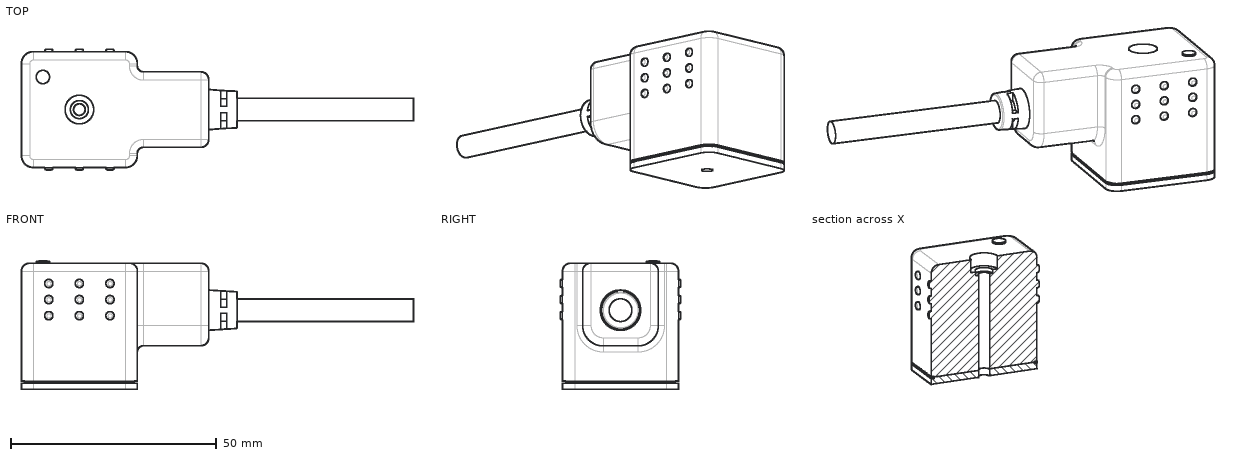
import cadquery as cq
import math


HEAD_SIDE = 28.3
HEAD_TOP = 30.8
CORNER_RADIUS = 3.0
EDGE_RADIUS = 2.0

GASKET_RIM_THICKNESS = 1.5
GROOVE_HEIGHT = 0.5
GROOVE_DEPTH = 0.8

ARM_REACH = 45.7
ARM_WIDTH = 18.5
ARM_HEIGHT = 20.2
ARM_BOTTOM_RADIUS = 5.0
ARM_ROOT_RADIUS = 1.4

COUNTERBORE_DIAMETER = 7.0
COUNTERBORE_DEPTH = 3.35
STEP_DIAMETER = 4.4
STEP_DEPTH = 1.0
SCREW_HOLE_DIAMETER = 2.8

LAMP_X = -8.9
LAMP_Y = 7.9
LAMP_DIAMETER = 3.3
LAMP_RIM_HEIGHT = 0.4
LAMP_HEIGHT = 0.6

STUD_DIAMETER = 2.0
STUD_HEIGHT = 0.6
STUD_EDGE_RADIUS = 0.5
STUD_PITCH_X = 7.5
STUD_PITCH_Z = 3.9
STUD_TOP_ROW_DROP = 5.0
STUD_COLUMNS = 3
STUD_ROWS = 3

CABLE_DIAMETER = 5.55
CABLE_AXIS_Z = 19.3
OVERALL_LENGTH = 95.7
GLAND_LENGTH = 6.9
GLAND_ROOT_DIAMETER = 9.9
GLAND_END_DIAMETER = 9.0
GLAND_EDGE_RADIUS = 0.3
WINDOW_START = 2.9
WINDOW_WIDTH = 1.4
WINDOW_BRIDGE = 1.5

HEAD_REAR_X = -HEAD_SIDE / 2
HEAD_FRONT_X = HEAD_SIDE / 2
JOINT_Z = GASKET_RIM_THICKNESS + GROOVE_HEIGHT / 2
ARM_END_X = HEAD_REAR_X + ARM_REACH
ARM_BOTTOM_Z = HEAD_TOP - ARM_HEIGHT
CABLE_END_X = HEAD_REAR_X + OVERALL_LENGTH
MARGIN = 0.01


def make_rounded_block(side, bottom_z, top_z, corner_radius):
    """Square block on the Z axis with rounded upright corners."""
    return (
        cq.Workplane("XY", origin=(0, 0, bottom_z))
        .rect(side, side)
        .extrude(top_z - bottom_z)
        .edges("|Z")
        .fillet(corner_radius)
    )


def make_arm():
    """Block from the middle of the head to the arm end, with round lower edges."""
    return (
        cq.Workplane("XY", origin=(0, 0, ARM_BOTTOM_Z))
        .rect(2 * ARM_END_X, ARM_WIDTH)
        .extrude(ARM_HEIGHT)
        .intersect(cq.Workplane("XY").box(ARM_END_X, HEAD_SIDE, HEAD_TOP, centered=(False, True, False)))
        .edges("|X and <Z")
        .fillet(ARM_BOTTOM_RADIUS)
    )


def blend_shell(shell):
    """Round the arm root, the arm end and the whole top outline."""
    root_edges = cq.selectors.BoxSelector(
        (HEAD_FRONT_X - MARGIN, -ARM_WIDTH / 2 - MARGIN, ARM_BOTTOM_Z - MARGIN),
        (HEAD_FRONT_X + MARGIN, ARM_WIDTH / 2 + MARGIN, HEAD_TOP - MARGIN),
    )
    shell = shell.edges(root_edges).fillet(ARM_ROOT_RADIUS)
    return shell.faces(">Z or >X").edges().fillet(EDGE_RADIUS)


def cut_groove(body):
    """Cut the groove around the joint, as far as it lies in the given body."""
    groove_top = GASKET_RIM_THICKNESS + GROOVE_HEIGHT
    outer = make_rounded_block(HEAD_SIDE, GASKET_RIM_THICKNESS, groove_top, CORNER_RADIUS)
    core = make_rounded_block(
        HEAD_SIDE - 2 * GROOVE_DEPTH, GASKET_RIM_THICKNESS, groove_top, CORNER_RADIUS - GROOVE_DEPTH
    )
    return body.cut(outer.cut(core))


def cut_screw_hole(body):
    """Bore the screw hole, with its two steps below the top of the head."""
    step_bottom = COUNTERBORE_DEPTH + STEP_DEPTH
    for diameter, depth in (
        (COUNTERBORE_DIAMETER, COUNTERBORE_DEPTH),
        (STEP_DIAMETER, step_bottom),
        (SCREW_HOLE_DIAMETER, HEAD_TOP),
    ):
        bore = cq.Workplane("XY", origin=(0, 0, HEAD_TOP - depth)).circle(diameter / 2).extrude(depth)
        body = body.cut(bore)
    return body


def make_lamp():
    """Domed lamp standing on the top face."""
    radius = LAMP_DIAMETER / 2
    dome_rise = LAMP_HEIGHT - LAMP_RIM_HEIGHT
    sphere_radius = (radius**2 + dome_rise**2) / (2 * dome_rise)
    half_angle = math.asin(radius / sphere_radius) / 2
    mid_point = (
        sphere_radius * math.sin(half_angle),
        LAMP_HEIGHT - sphere_radius * (1 - math.cos(half_angle)),
    )
    return (
        cq.Workplane("XZ")
        .lineTo(radius, 0)
        .lineTo(radius, LAMP_RIM_HEIGHT)
        .threePointArc(mid_point, (0, LAMP_HEIGHT))
        .close()
        .revolve(360, (0, 0), (0, 1))
        .translate((LAMP_X, LAMP_Y, HEAD_TOP))
    )


def make_studs():
    """Grid of round-edged studs on the two flat sides of the head."""
    grid_mid_z = HEAD_TOP - STUD_TOP_ROW_DROP - STUD_PITCH_Z * (STUD_ROWS - 1) / 2
    near_studs = (
        cq.Workplane("XZ", origin=(0, -HEAD_SIDE / 2, grid_mid_z))
        .rarray(STUD_PITCH_X, STUD_PITCH_Z, STUD_COLUMNS, STUD_ROWS)
        .circle(STUD_DIAMETER / 2)
        .extrude(STUD_HEIGHT)
        .faces("<Y")
        .edges()
        .fillet(STUD_EDGE_RADIUS)
    )
    return near_studs.add(near_studs.mirror("XZ")).combine()


def make_cable():
    """Round cable, starting at the end of the arm."""
    radius = CABLE_DIAMETER / 2
    return (
        cq.Workplane("XZ", origin=(0, 0, CABLE_AXIS_Z))
        .moveTo(ARM_END_X, 0)
        .lineTo(ARM_END_X, radius)
        .lineTo(CABLE_END_X, radius)
        .lineTo(CABLE_END_X, 0)
        .close()
        .revolve(360, (0, 0), (1, 0))
    )


def make_gland():
    """Tapered sleeve around the cable with a ring of four windows."""
    gland_end_x = ARM_END_X + GLAND_LENGTH
    gland = (
        cq.Workplane("XZ", origin=(0, 0, CABLE_AXIS_Z))
        .moveTo(ARM_END_X, 0)
        .lineTo(ARM_END_X, GLAND_ROOT_DIAMETER / 2)
        .lineTo(gland_end_x, GLAND_END_DIAMETER / 2)
        .lineTo(gland_end_x, 0)
        .close()
        .revolve(360, (0, 0), (1, 0))
        .faces(">X")
        .edges()
        .fillet(GLAND_EDGE_RADIUS)
    )
    window_side = GLAND_ROOT_DIAMETER / 2
    window_pitch = WINDOW_BRIDGE + window_side
    windows = (
        cq.Workplane("YZ", origin=(ARM_END_X + WINDOW_START, 0, CABLE_AXIS_Z))
        .rarray(window_pitch, window_pitch, 2, 2)
        .rect(window_side, window_side)
        .extrude(WINDOW_WIDTH)
    )
    return gland.cut(windows)


def make_housing():
    """Head and arm with the lamp, the studs, the gland and the moulded-on cable."""
    head = make_rounded_block(HEAD_SIDE, JOINT_Z, HEAD_TOP, CORNER_RADIUS)
    body = blend_shell(head.union(make_arm()))
    body = cut_screw_hole(cut_groove(body))
    for detail in (make_lamp(), make_studs(), make_gland(), make_cable()):
        body = body.union(detail)
    return body


def make_gasket():
    """Square plate below the housing, pierced by the screw hole."""
    plate = make_rounded_block(HEAD_SIDE, 0, JOINT_Z, CORNER_RADIUS)
    return cut_screw_hole(cut_groove(plate))


housing = make_housing()
gasket = make_gasket()

result = cq.Compound.makeCompound([housing.val(), gasket.val()])